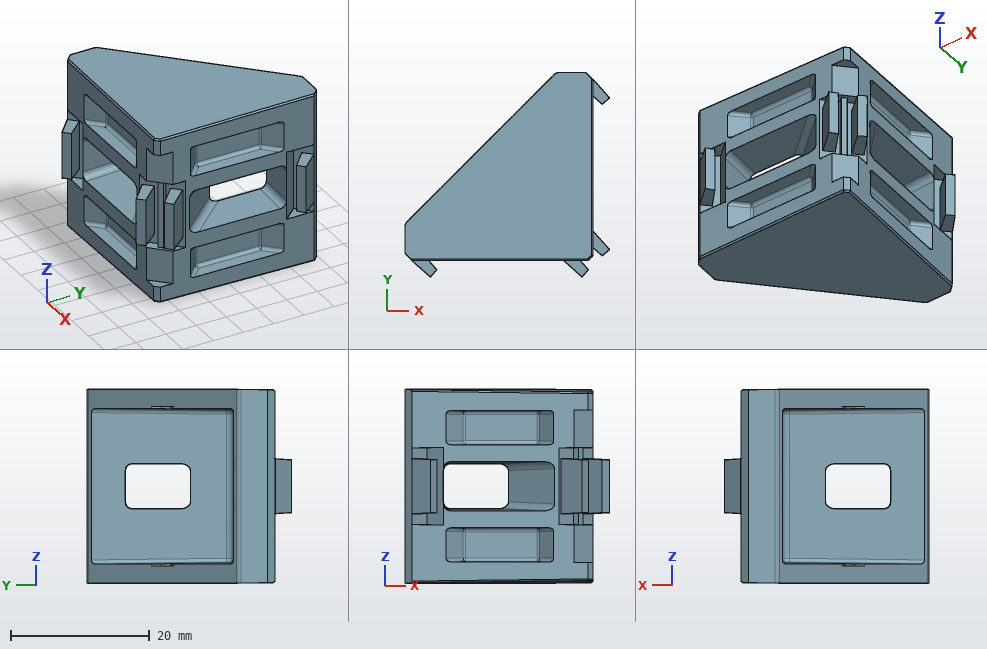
import cadquery as cq
import math


leg_length = 27.17
height = 28.0
end_width = 5.3
slope_sum = leg_length + end_width
slope_round = 0.92
end_chamfer = 1.05
corner_chamfer = 0.7
edge_chamfer = 0.25
draft = 1.0

leg_thickness = 5.97
cavity_height = 22.45
cavity_corner_round = 1.05
cavity_edge_round = 0.6

groove_width = 2.65
groove_depth = 2.95
groove_inset = 0.27
groove_mouth_round = 0.95

slot_length = 16.03
slot_height = 7.1
slot_inner_length = 9.37
slot_inner_height = 6.48
slot_round = 1.03

pocket_length = 15.52
pocket_height = 4.95
pocket_centre = 13.45
pocket_floor_length = 10.7
pocket_floor_centre = 13.25
pocket_floor_height = 4.8
pocket_depth = 2.42
pocket_offset = 8.45
pocket_round = 0.53

notch_sum = 2.78
notch_height = 21.95
recess_height = 11.1
recess_sum = 4.9
ridge_sum = 3.55
ridge_half_base = 0.7
ridge_half_top = 0.6
end_recess_sum = leg_length - end_chamfer
end_recess_mouth = 21.6
end_recess_wall = 21.85

tab_reach = 2.4
tab_pitch = 21.88
tab_offset = 3.0
tab_half_root = 1.3
tab_half_tip = 1.0
tab_tip_tilt = 0.15
tab_height = 7.95
tab_draft = 2.5

pick_margin = 0.3
root2 = math.sqrt(2)
past = 0.9
outer_limit = -4 * tab_reach
slope_distance = slope_sum / root2
diagonal = cq.Vector(1, 1, 0)


def point(u, v):
    """Plan point from its distances inward from the two leg faces."""
    return (-u, v)


def diagonal_point(total, difference):
    """Plan point from u + v and u - v."""
    return point((total + difference) / 2, (total - difference) / 2)


def mirrored(shape):
    """The shape together with its copy on the other leg."""
    return shape.union(shape.mirror(diagonal))


def drafted_prism(points, full_height, at_distance, angle):
    """Plan outline whose height is full_height at one diagonal distance from the
    corner and grows with that distance at the given angle on each side."""
    near = outer_limit
    far = slope_distance + leg_length

    def half(distance):
        return full_height / 2 + (distance - at_distance) * math.tan(math.radians(angle))

    prism = cq.Workplane("XY").polyline(points).close().extrude(height, both=True)
    plane = cq.Plane(origin=(0, 0, 0), xDir=(-1, 1, 0), normal=(1, 1, 0))
    wedge = [(near, -half(near)), (far, -half(far)), (far, half(far)), (near, half(near))]
    slab = cq.Workplane(plane).polyline(wedge).close().extrude(2 * leg_length, both=True)
    return prism.intersect(slab)


def upright_edge(shape, u, v):
    """The edge along Z at the given distances inward from the leg faces."""
    x, y = point(u, v)
    low = (x - pick_margin, y - pick_margin, -height)
    high = (x + pick_margin, y + pick_margin, height)
    return shape.edges("|Z").edges(cq.selectors.BoxSelector(low, high))


def tapered_opening(centre_z, outer, inner, depth):
    """Sharp-edged opening into the face y = 0. outer and inner are (centre u, length,
    height) of its rectangles at the face and at the given depth."""
    sections = []
    for level, (centre_u, length, tall) in ((0, outer), (depth, inner)):
        place = cq.Location(cq.Vector(-centre_u, centre_z, -level))
        sections.append(cq.Sketch().rect(length, tall).moved(place))
    return cq.Workplane("XZ").placeSketch(*sections).loft(ruled=True)


def make_body():
    outline = [
        point(corner_chamfer, 0),
        point(leg_length - end_chamfer, 0),
        point(leg_length, end_chamfer),
        point(leg_length, end_width),
        point(end_width, leg_length),
        point(end_chamfer, leg_length),
        point(0, leg_length - end_chamfer),
        point(0, corner_chamfer),
    ]
    body = drafted_prism(outline, height, slope_distance, draft)
    for u, v in ((leg_length, end_width), (end_width, leg_length)):
        body = upright_edge(body, u, v).fillet(slope_round)
    outer_faces = body.faces("<Y or >X or <(-1,1,0)")
    return outer_faces.edges("not(|Z)").chamfer(edge_chamfer)


def make_cavity():
    far = slope_sum - leg_thickness + past
    outline = [
        point(leg_thickness, leg_thickness),
        point(far, leg_thickness),
        point(leg_thickness, far),
    ]
    cavity = drafted_prism(outline, cavity_height, slope_distance, draft)
    cavity = upright_edge(cavity, leg_thickness, leg_thickness).fillet(cavity_corner_round)
    return cavity.faces(">Z or <Z").edges("not >(-1,1,0)").fillet(cavity_edge_round)


def make_groove():
    plane = cq.Plane(
        origin=(-slope_sum / 2, slope_sum / 2, 0), xDir=(1, 1, 0), normal=(0, 0, 1)
    )
    half = groove_width / 2
    mouth = half + groove_mouth_round
    bend = groove_mouth_round * (1 - 1 / root2)
    outline = (
        cq.Workplane(plane)
        .moveTo(-half, -groove_depth)
        .lineTo(half, -groove_depth)
        .lineTo(half, -groove_mouth_round)
        .threePointArc((half + bend, -bend), (mouth, 0))
        .lineTo(mouth, past)
        .lineTo(-mouth, past)
        .lineTo(-mouth, 0)
        .threePointArc((-half - bend, -bend), (-half, -groove_mouth_round))
        .close()
    )
    return outline.extrude(cavity_height / 2 + groove_inset, both=True)


def make_slot():
    centre = leg_length / 2
    far_end = centre + slot_length / 2
    slot = tapered_opening(
        0,
        (centre, slot_length, slot_height),
        (far_end - slot_inner_length / 2, slot_inner_length, slot_inner_height),
        leg_thickness,
    )
    return slot.edges("not (<Y or >Y)").fillet(slot_round)


def make_pocket(centre_z):
    pocket = tapered_opening(
        centre_z,
        (pocket_centre, pocket_length, pocket_height),
        (pocket_floor_centre, pocket_floor_length, pocket_floor_height),
        pocket_depth,
    )
    return pocket.edges("not <Y").fillet(pocket_round)


def make_notch():
    outline = [
        diagonal_point(notch_sum, notch_sum + past),
        diagonal_point(notch_sum, -notch_sum - past),
        diagonal_point(-past, 0),
    ]
    return drafted_prism(outline, notch_height, notch_sum / root2, -draft)


def make_corner_recess():
    outline = [
        diagonal_point(recess_sum, recess_sum + past),
        diagonal_point(recess_sum, ridge_half_base),
        diagonal_point(ridge_sum, ridge_half_top),
        diagonal_point(ridge_sum, -ridge_half_top),
        diagonal_point(recess_sum, -ridge_half_base),
        diagonal_point(recess_sum, -recess_sum - past),
        diagonal_point(-past, 0),
    ]
    return drafted_prism(outline, recess_height, recess_sum / root2, -draft)


def make_end_recess():
    outline = [
        diagonal_point(end_recess_sum, end_recess_sum + past),
        diagonal_point(end_recess_sum, end_recess_wall),
        point(end_recess_mouth, 0),
        point(end_recess_mouth, -past),
    ]
    return drafted_prism(outline, recess_height, end_recess_sum / root2, -draft)


def make_tab(shift, root_sum):
    """Tab leaning out of the face y = 0 from a recess floor at u + v = root_sum."""
    centre = tab_offset + shift
    long_side = centre + tab_half_tip
    tip_sum = long_side - 2 * tab_reach
    outline = [
        diagonal_point(root_sum, centre + tab_half_root),
        diagonal_point(tip_sum, long_side),
        diagonal_point(tip_sum + tab_tip_tilt, centre - tab_half_tip),
        diagonal_point(root_sum, centre - tab_half_root),
    ]
    return drafted_prism(outline, tab_height, root_sum / root2, tab_draft)


body = make_body().cut(make_cavity()).cut(make_groove())
leg_cuts = [
    make_slot(),
    make_pocket(pocket_offset),
    make_pocket(-pocket_offset),
    make_end_recess(),
]
for leg_cut in leg_cuts:
    body = body.cut(leg_cut).cut(leg_cut.mirror(diagonal))
body = body.cut(make_notch()).cut(make_corner_recess())

inner_tab = make_tab(0, recess_sum)
end_tab = make_tab(tab_pitch, end_recess_sum)
result = body.union(mirrored(inner_tab)).union(mirrored(end_tab))